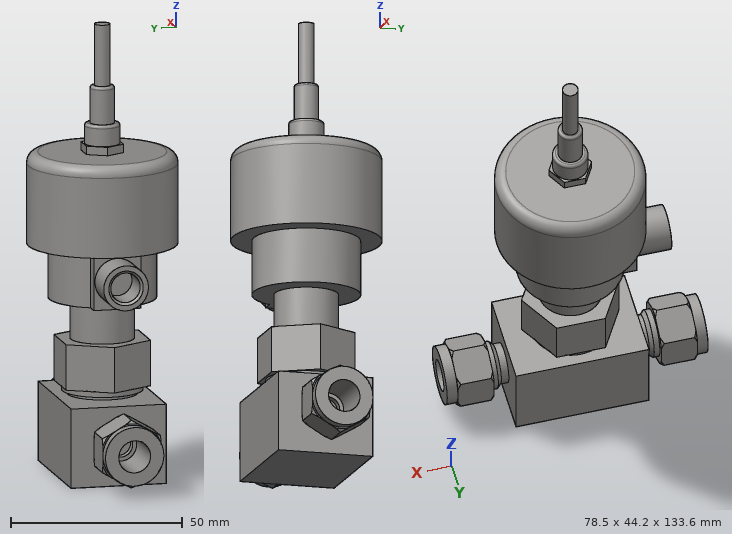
import cadquery as cq
import math


body_length = 40.0
body_width = 28.6
body_bottom = -12.7
body_top = 10.95

overall_height = 133.6
overall_length = 78.49

neck_diameter = 20.6
neck_top = 12.05
collar_diameter = 23.85
bonnet_nut_bottom = 13.85
bonnet_nut_top = 27.4
bonnet_nut_flats = 25.4
stem_diameter = 18.9

housing_bottom = 39.55
housing_diameter = 31.75
cap_bottom = 55.7
cap_top = 82.85
cap_diameter = 44.2
cap_fillet = 3.3

inlet_pad_width = 14.1
inlet_pad_reach = 18.2
inlet_reach = 28.85
inlet_height = 48.05
inlet_diameter = 13.4
inlet_bore_diameter = 8.8
inlet_bore_chamfer = 0.75

gland_nut_flats = 11.1
gland_nut_height = 2.5
gland_diameter = 10.36
gland_top = 91.5
sleeve_diameter = 7.15
sleeve_top = 102.65
gland_fillet = 0.85
cable_diameter = 4.6

fitting_nut_flats = 17.5
fitting_nut_start = 3.2
fitting_nut_end = 14.1
fitting_nut_chamfer = 0.9
fitting_collar_diameter = 14.2
fitting_collar_end = 15.8
fitting_cone_end = 17.0
fitting_neck_diameter = 11.9
tube_bore_diameter = 9.53
tube_bore_depth = 16.8
flow_bore_diameter = 7.14
flow_bore_depth = (overall_length - body_length) / 2

OVERLAP = 1.0


def hex_corners(flats):
    return flats / math.cos(math.pi / 6)


def cylinder(diameter, bottom, top):
    """Upright round bar on the stem axis."""
    return cq.Workplane("XY").workplane(offset=bottom).circle(diameter / 2).extrude(top - bottom)


def hexagon(flats, bottom, top):
    """Upright hexagonal bar with two corners on the X axis."""
    return cq.Workplane("XY").workplane(offset=bottom).polygon(6, hex_corners(flats)).extrude(top - bottom)


def make_body():
    height = body_top - body_bottom
    return cq.Workplane("XY").workplane(offset=body_bottom).rect(body_length, body_width).extrude(height)


def make_bonnet():
    neck = cylinder(neck_diameter, body_top - OVERLAP, neck_top)
    collar = cylinder(collar_diameter, neck_top, bonnet_nut_bottom)
    nut = hexagon(bonnet_nut_flats, bonnet_nut_bottom, bonnet_nut_top)
    stem = cylinder(stem_diameter, bonnet_nut_top, housing_bottom)
    return neck.union(collar).union(nut).union(stem)


def make_actuator():
    housing = cylinder(housing_diameter, housing_bottom, cap_bottom)
    cap = cylinder(cap_diameter, cap_bottom, cap_top).faces(">Z").edges().fillet(cap_fillet)
    return housing.union(cap)


def make_inlet():
    """Flat pad on the housing carrying a bored round spigot."""
    pad = cq.Workplane("XY").workplane(offset=housing_bottom)
    pad = pad.center(-inlet_pad_reach / 2, 0).rect(inlet_pad_reach, inlet_pad_width)
    pad = pad.extrude(cap_bottom - housing_bottom)
    end_plane = cq.Plane(origin=(-inlet_reach, 0, inlet_height), xDir=(0, 1, 0), normal=(1, 0, 0))
    spigot_length = inlet_reach - inlet_pad_reach
    spigot = cq.Workplane(end_plane).circle(inlet_diameter / 2).extrude(spigot_length)
    bore = cq.Workplane(end_plane).circle(inlet_bore_diameter / 2).extrude(spigot_length)
    mouth = cq.selectors.RadiusNthSelector(0)
    spigot = spigot.cut(bore).faces("<X").edges("%CIRCLE").edges(mouth).chamfer(inlet_bore_chamfer)
    return pad.union(spigot)


def make_cable_gland():
    nut_top = cap_top + gland_nut_height
    cable_top = body_bottom + overall_height
    nut = hexagon(gland_nut_flats, cap_top - OVERLAP, nut_top)
    gland = cylinder(gland_diameter, nut_top, gland_top).faces(">Z").edges().fillet(gland_fillet)
    sleeve = cylinder(sleeve_diameter, gland_top, sleeve_top).faces(">Z").edges().fillet(gland_fillet)
    cable = cylinder(cable_diameter, sleeve_top, cable_top)
    return nut.union(gland).union(sleeve).union(cable)


def fitting_plane(distance):
    """Plane across the -X fitting at a distance from its open end, facing into the body."""
    x = distance - overall_length / 2
    return cq.Workplane(cq.Plane(origin=(x, 0, 0), xDir=(0, 0, 1), normal=(1, 0, 0)))


def make_fitting_turning():
    """Round parts of the -X fitting, turned about the port axis."""
    nut_radius = fitting_nut_flats / 2
    collar_radius = fitting_collar_diameter / 2
    neck_radius = fitting_neck_diameter / 2
    open_end = -overall_length / 2
    inner_end = -body_length / 2 + OVERLAP
    profile = (
        cq.Workplane("XZ")
        .moveTo(open_end, 0)
        .lineTo(open_end, nut_radius)
        .lineTo(open_end + fitting_nut_end, nut_radius)
        .lineTo(open_end + fitting_nut_end, collar_radius)
        .lineTo(open_end + fitting_collar_end, collar_radius)
        .lineTo(open_end + fitting_cone_end, neck_radius)
        .lineTo(inner_end, neck_radius)
        .lineTo(inner_end, 0)
        .close()
    )
    return profile.revolve(360, (0, 0, 0), (1, 0, 0))


def make_fitting_nut():
    """Hex nut with corners up and down, its corners turned off at both ends."""
    length = fitting_nut_end - fitting_nut_start
    corners = hex_corners(fitting_nut_flats)
    nut = fitting_plane(fitting_nut_start).polygon(6, corners).extrude(length)
    envelope = fitting_plane(fitting_nut_start).circle(corners / 2).extrude(length)
    return nut.intersect(envelope.edges("%CIRCLE").chamfer(fitting_nut_chamfer))


def make_fitting_bore():
    """Tube socket followed by the narrower flow bore."""
    socket = fitting_plane(0).circle(tube_bore_diameter / 2).extrude(tube_bore_depth)
    flow_bore = fitting_plane(0).circle(flow_bore_diameter / 2).extrude(flow_bore_depth)
    return socket.union(flow_bore)


result = make_body().union(make_bonnet()).union(make_actuator())
result = result.union(make_inlet()).union(make_cable_gland())

fitting = make_fitting_turning().union(make_fitting_nut()).cut(make_fitting_bore())
for turn in (0, 180):
    result = result.union(fitting.rotate((0, 0, 0), (0, 0, 1), turn))